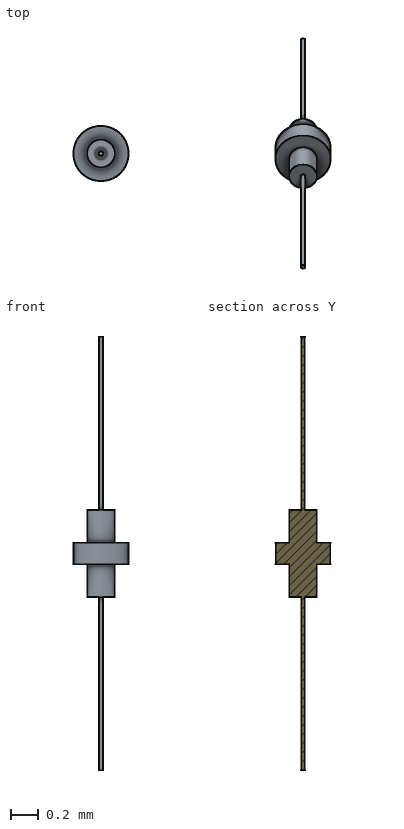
import cadquery as cq

flange_diameter = 0.4
flange_thickness = 0.156
body_diameter = 0.2
body_length = 0.63
wire_diameter = 0.032
wire_projection = 1.25

wire_length = body_length + 2 * wire_projection


def centred_cylinder(diameter, length):
    """Cylinder along Z, centred on the origin."""
    return cq.Workplane("XY").cylinder(length, diameter / 2)


flange = centred_cylinder(flange_diameter, flange_thickness)
body = centred_cylinder(body_diameter, body_length)
wire = centred_cylinder(wire_diameter, wire_length)

result = flange.union(body).union(wire)